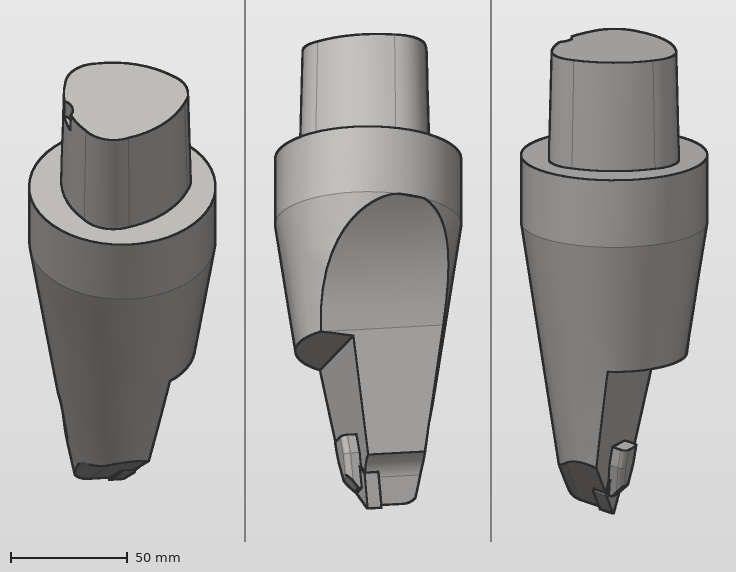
import cadquery as cq
import math


flange_diameter = 80.0
flange_thickness = 30.0
shank_length = 48.0
lobe_radius = 30.0
seam_radius = 28.0
flat_radius = 25.8
lobe_half_angle = 20.7
lobe_angles = (90, 210, 330)
lobe_to_flat_angle = 60
shank_taper = 1 / 40

notch_radius = 7.0
notch_height = 8.1
notch_bottom_y = -22.3

corner_x = 0.6
corner_depth = 160.4
frame_yaw = 3
frame_tilt = 10

cone_slope = 0.15

insert_side = 15.5
insert_thickness = 6.5
insert_nose_radius = 0.5
insert_angle = 55
left_flank_angle = -13.5
right_flank_angle = left_flank_angle + insert_angle

insert_overhang = 0.8
insert_proud = 0.6

flute_top = (-41.5, 128.0)
flute_tangent_point = (-17.5, 75.7)
flute_foot = (-10.0, 21.5)
relief_height = 13.5

ledge_depth = 88.0

end_flat_length = 16.6
end_corner_radius = 10.5
end_corner_sweep = 46

clamp_center_x = 5.0
clamp_nose = 10.8
clamp_shoulder = 25.8
clamp_back = 34.1
clamp_width = 11.5
clamp_nose_width = 5.2
clamp_height = 6.0
clamp_bevel_length = 6.2
clamp_bevel_height = 4.5
clamp_fillet = 2.5

reach = 249.5


def polar(radius, degrees):
    angle = math.radians(degrees)
    return (radius * math.cos(angle), radius * math.sin(angle))


def flank_point(distance, degrees):
    """(x, z) point of the rake plane on a ray turned from the frame's z axis towards +x."""
    angle = math.radians(degrees)
    return (distance * math.sin(angle), distance * math.cos(angle))


def place_at_tip(shape):
    """Move a shape from the cutting frame to its place on the tool."""
    yawed = shape.rotate((0, 0, 0), (0, 0, 1), frame_yaw)
    tilted = yawed.rotate((0, 0, 0), (1, 0, 0), -frame_tilt)
    return tilted.translate((corner_x, 0, -corner_depth))


def lobed_outline(workplane, inset):
    """Six arcs: three tight lobes and the three flatter sides between them."""
    outline = workplane.moveTo(*polar(seam_radius - inset, lobe_angles[0] - lobe_half_angle))
    for lobe_angle in lobe_angles:
        lobe_top = polar(lobe_radius - inset, lobe_angle)
        lobe_end = polar(seam_radius - inset, lobe_angle + lobe_half_angle)
        flat_angle = lobe_angle + lobe_to_flat_angle
        flat_middle = polar(flat_radius - inset, flat_angle)
        flat_end = polar(seam_radius - inset, flat_angle + lobe_to_flat_angle - lobe_half_angle)
        outline = outline.threePointArc(lobe_top, lobe_end).threePointArc(flat_middle, flat_end)
    return outline.close()


def make_shank():
    base = lobed_outline(cq.Workplane("XY"), 0)
    top = lobed_outline(base.workplane(offset=shank_length), shank_length * shank_taper)
    notch_center = (0, notch_bottom_y - notch_radius, shank_length - notch_height)
    notch = cq.Workplane("XY", origin=notch_center).circle(notch_radius).extrude(notch_height)
    return top.loft(ruled=True).cut(notch)


def make_cone():
    top_radius = flange_diameter / 2
    bottom_radius = top_radius - (corner_depth - flange_thickness) * cone_slope
    half_section = [
        (0, -flange_thickness),
        (top_radius, -flange_thickness),
        (bottom_radius, -corner_depth),
        (0, -corner_depth),
    ]
    return cq.Workplane("XZ").polyline(half_section).close().revolve(360, (0, 0, 0), (0, 1, 0))


def make_flute_cut():
    """Space beside the flute: holder flank, hollow relief, flat and a run-out arc up to the flange."""
    flank_shift = insert_overhang / math.cos(math.radians(left_flank_angle))
    below_tip = flank_point(-insert_side, left_flank_angle)
    relief_end_x = relief_height * math.tan(math.radians(left_flank_angle))
    flute_cut = (
        cq.Workplane("XZ")
        .moveTo(-reach, below_tip[1])
        .lineTo(below_tip[0] + flank_shift, below_tip[1])
        .lineTo(relief_end_x + flank_shift, relief_height)
        .tangentArcPoint(flute_foot, relative=False)
        .lineTo(*flute_tangent_point)
        .tangentArcPoint(flute_top, relative=False)
        .lineTo(-reach, flute_top[1])
        .close()
        .extrude(reach, both=True)
    )
    return place_at_tip(flute_cut)


def make_end_cut():
    """Space under the right flank, bounded by a flat, a rounded corner and a leaning side."""
    arc_center = (-end_flat_length, insert_overhang + end_corner_radius)
    arc_x, arc_z = flank_point(end_corner_radius, end_corner_sweep)
    side_y, side_z = polar(reach, end_corner_sweep)
    arc_end = (arc_center[0] - arc_x, arc_center[1] - arc_z)
    side_end = (arc_end[0] - side_y, arc_end[1] + side_z)
    end_cut = (
        cq.Workplane("YZ")
        .moveTo(reach, insert_overhang)
        .lineTo(-end_flat_length, insert_overhang)
        .radiusArc(arc_end, end_corner_radius)
        .lineTo(*side_end)
        .lineTo(side_end[0], -reach)
        .lineTo(reach, -reach)
        .close()
        .extrude(reach, both=True)
    )
    return place_at_tip(end_cut.rotate((0, 0, 0), (0, 1, 0), right_flank_angle - 90))


def make_rake_cut():
    in_front = cq.Workplane("XZ", origin=(0, -insert_proud, 0)).rect(2 * reach, 2 * reach).extrude(-reach)
    below_ledge = cq.Workplane("XY", origin=(0, 0, -ledge_depth)).rect(reach, reach).extrude(-reach)
    return place_at_tip(in_front).intersect(below_ledge)


def make_clamp():
    """Block with a tapered, bevelled nose that reaches over the insert; its top edges are rounded."""
    outline = [
        (-clamp_nose_width / 2, clamp_nose),
        (clamp_nose_width / 2, clamp_nose),
        (clamp_width / 2, clamp_shoulder),
        (clamp_width / 2, clamp_back),
        (-clamp_width / 2, clamp_back),
        (-clamp_width / 2, clamp_shoulder),
    ]
    holder_face = cq.Workplane("XZ", origin=(0, -insert_proud, 0))
    block = holder_face.polyline(outline).close().extrude(-clamp_height - insert_proud)
    bevel_outline = [
        (clamp_height - clamp_bevel_height, clamp_nose),
        (clamp_height, clamp_nose),
        (clamp_height, clamp_nose + clamp_bevel_length),
    ]
    bevel = cq.Workplane("YZ").polyline(bevel_outline).close().extrude(clamp_width, both=True)
    clamp = block.cut(bevel).faces(">Y").edges("not(>Z)").fillet(clamp_fillet)
    return place_at_tip(clamp.translate((clamp_center_x, 0, 0)))


def make_insert():
    left = flank_point(insert_side, left_flank_angle)
    right = flank_point(insert_side, right_flank_angle)
    far = (left[0] + right[0], left[1] + right[1])
    plate = cq.Workplane("XZ").polyline([(0, 0), right, far, left]).close().extrude(insert_thickness)
    return place_at_tip(plate.edges("|Y").fillet(insert_nose_radius))


def make_holder(insert_body):
    """Shank, flange, nose and clamp in one piece, with a pocket that fits the insert."""
    flange = cq.Workplane("XY").circle(flange_diameter / 2).extrude(-flange_thickness)
    nose = make_cone().cut(make_flute_cut()).cut(make_end_cut()).cut(make_rake_cut())
    holder_body = make_shank().union(flange).union(nose).union(make_clamp())
    return holder_body.cut(insert_body)


insert = make_insert()
holder = make_holder(insert)

result = cq.Compound.makeCompound([holder.solids().val(), insert.solids().val()])